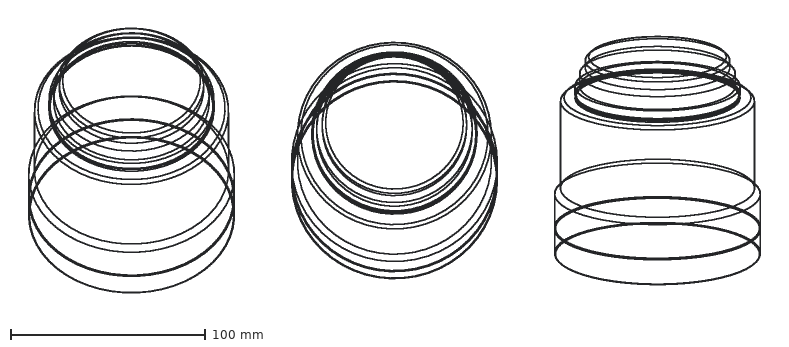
import cadquery as cq

base_radius = 106.0 / 2
body_radius = 50.0
collar_radius = 42.5
neck_radius = 41.9
shoulder_radius = 40.1
cap_radius = 37.2

groove_height = 13.9
base_top = 35.5
body_top = 84.4
collar_bottom = 86.4
collar_top = 90.6
shoulder_top = 100.3
total_height = 106.3

base_chamfer = 0.4
edge_chamfer = 1.8
collar_chamfer = collar_radius - neck_radius
neck_flare = collar_chamfer
groove_depth = 0.4
groove_half_width = 0.4

base_bevel = base_radius - body_radius
shoulder_bevel = shoulder_radius - cap_radius

profile = [
    (0, 0),
    (base_radius - base_chamfer, 0),
    (base_radius, base_chamfer),
    (base_radius, groove_height - groove_half_width),
    (base_radius - groove_depth, groove_height),
    (base_radius, groove_height + groove_half_width),
    (base_radius, base_top - base_bevel),
    (body_radius, base_top),
    (body_radius, body_top - edge_chamfer),
    (body_radius - edge_chamfer, body_top),
    (neck_radius + neck_flare, body_top),
    (neck_radius, body_top + neck_flare),
    (neck_radius, collar_bottom - collar_chamfer),
    (collar_radius, collar_bottom),
    (collar_radius, collar_top),
    (shoulder_radius, collar_top),
    (shoulder_radius, shoulder_top - shoulder_bevel),
    (cap_radius, shoulder_top),
    (cap_radius, total_height - edge_chamfer),
    (cap_radius - edge_chamfer, total_height),
    (0, total_height),
]

result = cq.Workplane("XZ").polyline(profile).close().revolve(360, (0, 0), (0, 1))